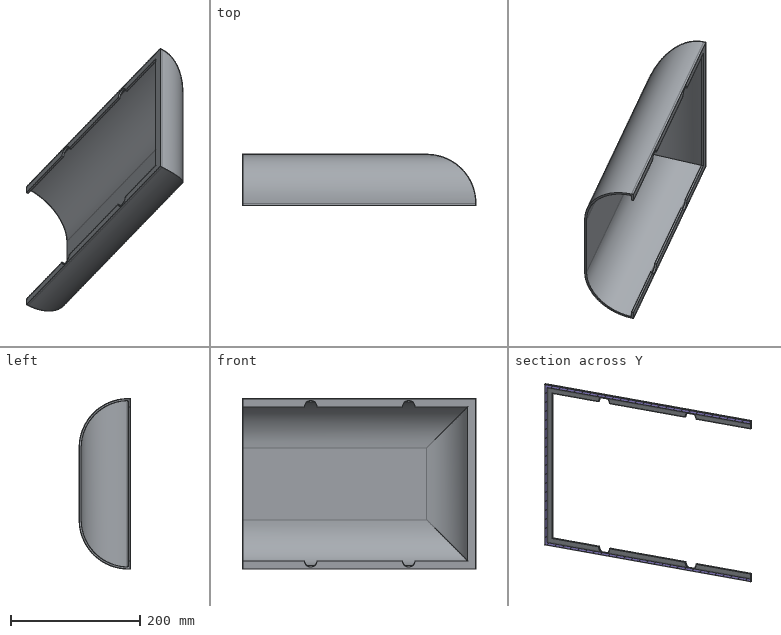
import cadquery as cq
import math

length = 360.76
height = 263.525
wall = 3.175
outer_radius = 76.2

lip_width = 12.7
lip_thickness = wall
lip_fillet_radius = 2.4

notch_radius = lip_width - wall
notch_spacing = 151.45
first_notch_x = 105.4
notch_count = 2

half_height = height / 2


def curved_half(plane, edge, radius):
    """Half profile whose side curves in a quarter circle from the lip back into the back.

    The first coordinate runs outward from 0 to `edge`; the second is Y.
    """
    back = lip_thickness + radius
    curve_start = edge - radius
    diagonal = radius * math.sqrt(0.5)
    return (
        cq.Workplane(plane)
        .moveTo(0, lip_thickness)
        .lineTo(edge, lip_thickness)
        .threePointArc((curve_start + diagonal, lip_thickness + diagonal), (curve_start, back))
        .lineTo(0, back)
        .close()
    )


def curved_block(inset):
    """Block with quarter-round top, bottom and far end, mitred where they meet."""
    radius = outer_radius - inset
    along_z = curved_half("XY", length - inset, radius).extrude(half_height, both=True)
    section_plane = cq.Plane(origin=(0, 0, 0), xDir=(0, 0, 1), normal=(-1, 0, 0))
    upper = curved_half(section_plane, half_height - inset, radius).extrude(-length)
    along_x = upper.union(upper.mirror("XY"))
    return along_z.intersect(along_x)


def rim_slab(inset):
    """Rectangular slab, lip thickness deep, from the open end to `inset` inside the outline."""
    return cq.Workplane("XY").box(
        length - inset, lip_thickness, height - 2 * inset, centered=(False, False, True)
    )


def cavity():
    """Hollow behind the lip, rounded where the wall meets the lip."""
    return curved_block(wall).faces("<Y").edges("not <X").fillet(lip_fillet_radius)


def lip_notches():
    """Round cutters, lip thickness deep, centred on the edges of both long lips."""
    edge_z = half_height - lip_width
    centers = [
        (first_notch_x + index * notch_spacing, side * edge_z)
        for index in range(notch_count)
        for side in (-1, 1)
    ]
    return cq.Workplane("XZ").pushPoints(centers).circle(notch_radius).extrude(-lip_thickness)


shell = curved_block(0).union(rim_slab(0))
result = shell.cut(cavity()).cut(rim_slab(lip_width)).cut(lip_notches())